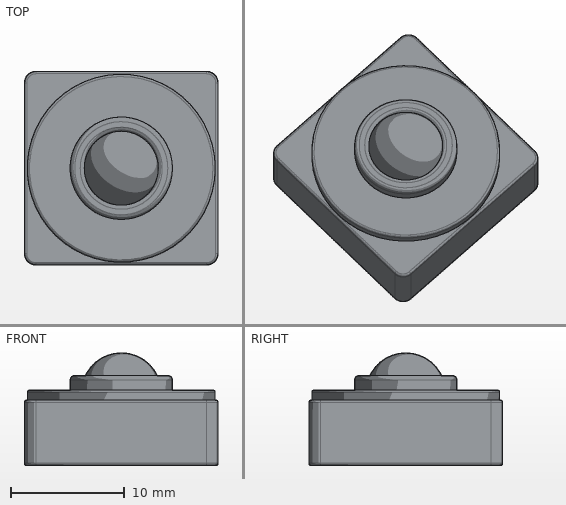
import cadquery as cq

base_side = 17.0
base_height = 5.75
base_corner_radius = 1.0
base_edge_radius = 0.2

flange_diameter = 16.5
flange_height = 0.88
flange_edge_radius = 0.2
collar_diameter = 9.0
collar_height = 1.28
collar_edge_radius = 0.4

mouth_diameter = 7.2
mouth_edge_radius = 0.4
throat_diameter = mouth_diameter - 2 * mouth_edge_radius

ball_diameter = 7.0
overall_height = 9.9
ball_center_z = overall_height - ball_diameter / 2


def make_ball():
    """Full sphere, held between the base and the cap."""
    return cq.Workplane("XY").sphere(ball_diameter / 2).translate((0, 0, ball_center_z))


def make_base():
    """Rounded square block with a spherical socket for the ball."""
    block = cq.Workplane("XY").box(base_side, base_side, base_height, centered=(True, True, False))
    block = block.edges("|Z").fillet(base_corner_radius)
    block = block.faces("<Z or >Z").edges().fillet(base_edge_radius)
    return block.cut(make_ball())


def make_rounded_disc(bottom_z, diameter, height, edge_radius):
    """Upright disc with a rounded top edge."""
    disc = cq.Workplane("XY").workplane(offset=bottom_z).circle(diameter / 2).extrude(height)
    return disc.faces(">Z").edges().fillet(edge_radius)


def make_cap():
    """Flange and collar whose rounded mouth narrows onto the ball."""
    flange = make_rounded_disc(base_height, flange_diameter, flange_height, flange_edge_radius)
    collar_bottom = base_height + flange_height
    collar = make_rounded_disc(collar_bottom, collar_diameter, collar_height, collar_edge_radius)
    cap = flange.union(collar)
    cap = cap.faces(">Z").workplane(origin=(0, 0, 0)).hole(throat_diameter)
    cap = cap.faces(">Z").edges(cq.selectors.RadiusNthSelector(0)).fillet(mouth_edge_radius)
    return cap.cut(make_ball())


base = make_base()
cap = make_cap()
ball = make_ball()

result = cq.Compound.makeCompound([base.solids().val(), cap.solids().val(), ball.val()])